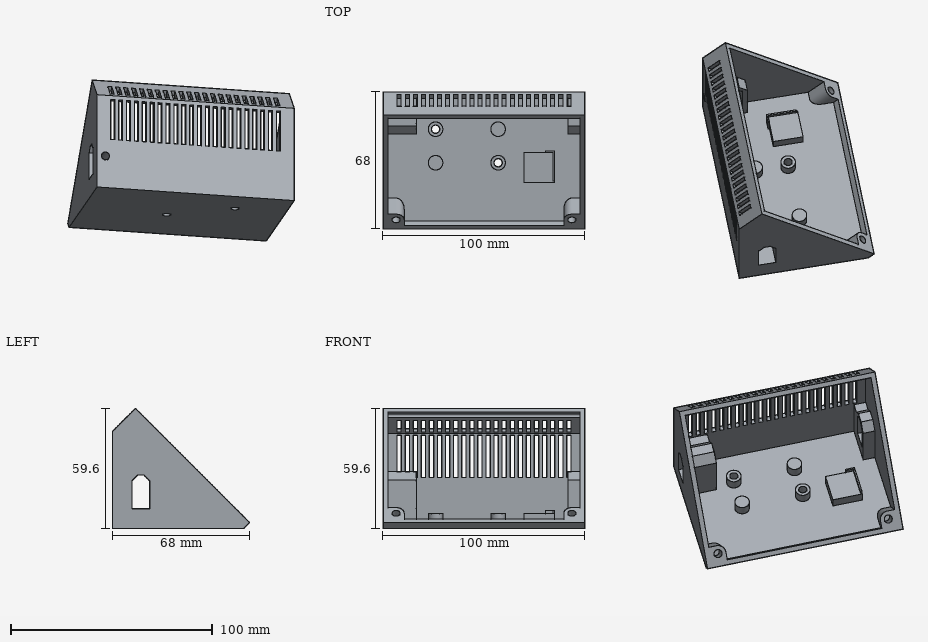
import cadquery as cq
import math


width = 100.0
depth = 68.0
height = 59.6
face_length = 80.0
wall = 2.5

diag = math.sqrt(0.5)
face_rise = face_length * diag
toe = height - face_rise
shoulder = depth - face_rise
back_height = height - shoulder
inner_width = width - 2 * wall
edge_step = wall * diag
miter = wall * math.tan(math.radians(22.5))

slot_count = 22
slot_pitch = 4.0
slot_width = 2.0
rear_slot_bottom = 25.4
rear_slot_top = 46.2
shoulder_slot_start = 2.0
shoulder_slot_length = 8.0

groove_diameter = 2.5
groove_inset = 2.8

left_block_face = -33.5
right_block_face = 41.5
window_setback = 14.1
block_half_width = 6.8
block_top = 28.3
block_chamfer = 4.1
block_shelf_height = block_top - block_chamfer
window_width = 8.6
window_bottom = 10.0
window_top = 26.5
window_chamfer = 2.8
cable_hole_diameter = 4.0
cable_hole_x = (right_block_face + width / 2) / 2
cable_hole_height = 16.5

post_diameter = 7.2
post_hole_diameter = 4.0
post_top = 7.5
post_left = -24.0
post_right = 7.0
post_back = 18.5
post_front = 35.1

pad_size = 15.0
pad_left = 19.9
pad_back = 30.0
pad_top = 7.5
lip_top = 9.0
lip_thickness = 0.75
lip_return = 4.5

boss_size = 8.0
boss_radius = 4.0
boss_length = 12.0
screw_hole_diameter = 4.0
screw_hole_depth = 8.0


def along_x(points, x_min, x_max):
    """Prism along X from (setback, height) points."""
    outline = [(-setback, z) for setback, z in points]
    return cq.Workplane("YZ", origin=(x_min, 0, 0)).polyline(outline).close().extrude(x_max - x_min)


def block_between(x_min, x_max, setback_min, setback_max, z_min, z_max):
    """Upright box from its limits."""
    size = (x_max - x_min, setback_max - setback_min, z_max - z_min)
    return cq.Workplane("XY").box(*size, centered=False).translate((x_min, -setback_max, z_min))


def arch(half_width, bottom, top, chamfer):
    """Outline around the window axis with both top corners cut at 45 degrees."""
    back = window_setback - half_width
    front = window_setback + half_width
    return [
        (back, bottom),
        (front, bottom),
        (front, top - chamfer),
        (front - chamfer, top),
        (back + chamfer, top),
        (back, top - chamfer),
    ]


def make_envelope():
    points = [
        (0, 0),
        (depth - toe, 0),
        (depth, toe),
        (shoulder, height),
        (0, back_height),
    ]
    return along_x(points, -width / 2, width / 2)


def make_cavity():
    points = [
        (wall, wall),
        (depth - toe - miter, wall),
        (depth - edge_step, toe + edge_step),
        (shoulder + edge_step, height - edge_step),
        (wall, back_height - miter),
    ]
    return along_x(points, -inner_width / 2, inner_width / 2)


def make_groove():
    """Round groove along the ceiling, its axis lying on the ceiling surface."""
    axis_setback = shoulder + edge_step - groove_inset * diag
    axis_height = height - edge_step - groove_inset * diag
    start = cq.Workplane("YZ", origin=(-inner_width / 2, -axis_setback, axis_height))
    return start.circle(groove_diameter / 2).extrude(inner_width)


def make_slots():
    shoulder_plane = cq.Plane(origin=(0, 0, back_height), xDir=(1, 0, 0), normal=(0, diag, diag))
    centers = [(i - (slot_count - 1) / 2) * slot_pitch for i in range(slot_count)]
    shoulder_middle = -(shoulder_slot_start + shoulder_slot_length / 2)
    rear_middle = (rear_slot_bottom + rear_slot_top) / 2
    shoulder_slots = (
        cq.Workplane(shoulder_plane)
        .pushPoints([(x, shoulder_middle) for x in centers])
        .rect(slot_width, shoulder_slot_length)
        .extrude(wall, both=True)
    )
    rear_slots = (
        cq.Workplane("XZ")
        .pushPoints([(x, rear_middle) for x in centers])
        .rect(slot_width, rear_slot_top - rear_slot_bottom)
        .extrude(wall)
    )
    return shoulder_slots.union(rear_slots)


def make_side_block(x_min, x_max):
    """Arched block with a lower shelf joining it to the back wall."""
    tower = along_x(arch(block_half_width, 0, block_top, block_chamfer), x_min, x_max)
    return tower.union(block_between(x_min, x_max, wall, window_setback, 0, block_shelf_height))


def make_pad():
    pad_right = pad_left + pad_size
    lip_back = pad_back - lip_thickness
    pad = block_between(pad_left, pad_right, pad_back, pad_back + pad_size, 0, pad_top)
    side_lip = block_between(
        pad_right - lip_thickness, pad_right, lip_back, lip_back + pad_size, 0, lip_top
    )
    back_lip = block_between(pad_right - lip_return, pad_right, lip_back, pad_back, 0, lip_top)
    return pad.union(side_lip).union(back_lip)


def posts(places, diameter, top):
    return cq.Workplane("XY").pushPoints([(x, -s) for x, s in places]).circle(diameter / 2).extrude(top)


face_plane = cq.Plane(
    origin=(0, -(depth - edge_step), toe + edge_step),
    xDir=(1, 0, 0),
    normal=(0, -diag, diag),
)


def make_boss(side):
    """Corner boss with its inner upper corner rounded; side is -1 or +1."""
    outer = side * inner_width / 2
    inner = outer - side * boss_size
    arc_middle = (inner + side * boss_radius * (1 - diag), boss_size - boss_radius * (1 - diag))
    return (
        cq.Workplane(face_plane)
        .moveTo(outer, 0)
        .lineTo(inner, 0)
        .lineTo(inner, boss_size - boss_radius)
        .threePointArc(arc_middle, (inner + side * boss_radius, boss_size))
        .lineTo(outer, boss_size)
        .close()
        .extrude(-boss_length)
    )


def make_screw_holes():
    x = inner_width / 2 - boss_size / 2
    return (
        cq.Workplane(face_plane)
        .pushPoints([(-x, boss_size / 2), (x, boss_size / 2)])
        .circle(screw_hole_diameter / 2)
        .extrude(-screw_hole_depth)
    )


envelope = make_envelope()
post_places = [(x, s) for x in (post_left, post_right) for s in (post_back, post_front)]
open_post_places = [(post_left, post_back), (post_right, post_front)]

result = envelope.cut(make_cavity()).cut(make_groove()).cut(make_slots())

result = result.union(make_side_block(-width / 2, left_block_face))
result = result.union(make_side_block(right_block_face, width / 2))
result = result.union(posts(post_places, post_diameter, post_top))
result = result.union(make_pad())
for side in (-1, 1):
    result = result.union(make_boss(side).intersect(envelope))

window = arch(window_width / 2, window_bottom, window_top, window_chamfer)
cable_hole = (
    cq.Workplane("XZ")
    .center(cable_hole_x, cable_hole_height)
    .circle(cable_hole_diameter / 2)
    .extrude(window_setback)
)
result = result.cut(along_x(window, -width / 2, width / 2))
result = result.cut(cable_hole)
result = result.cut(posts(open_post_places, post_hole_diameter, post_top))
result = result.cut(make_screw_holes())